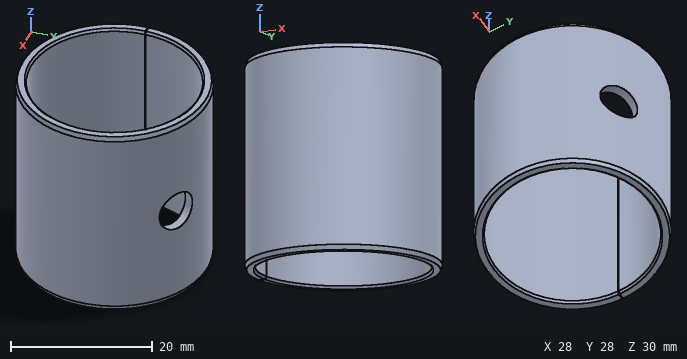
import cadquery as cq

height = 30.0
outer_diameter = 28.0
wall = 1.5
inner_diameter = outer_diameter - 2 * wall

outer_bevel_length = 0.72
outer_bevel_depth = 0.25
inner_bevel_length = 0.42
inner_bevel_depth = 0.25

slit_angle = 0.6
slit_start_angle = 179.6

hole_diameter = 6.0
hole_height = height / 2
hole_angle = 59.2


def sleeve():
    """Revolve the bevelled wall section around Z, leaving the slit open."""
    outer = outer_diameter / 2
    inner = inner_diameter / 2
    section = [
        (inner + inner_bevel_depth, 0),
        (outer - outer_bevel_depth, 0),
        (outer, outer_bevel_length),
        (outer, height - outer_bevel_length),
        (outer - outer_bevel_depth, height),
        (inner + inner_bevel_depth, height),
        (inner, height - inner_bevel_length),
        (inner, inner_bevel_length),
    ]
    return (
        cq.Workplane("XZ")
        .polyline(section)
        .close()
        .revolve(360 - slit_angle, (0, 0), (0, 1))
        .rotate((0, 0, 0), (0, 0, 1), slit_start_angle)
    )


def oil_hole_cutter():
    """Radial cylinder from the axis out through the wall."""
    return (
        cq.Workplane("YZ")
        .center(0, hole_height)
        .circle(hole_diameter / 2)
        .extrude(outer_diameter)
        .rotate((0, 0, 0), (0, 0, 1), hole_angle)
    )


result = sleeve().cut(oil_hole_cutter())